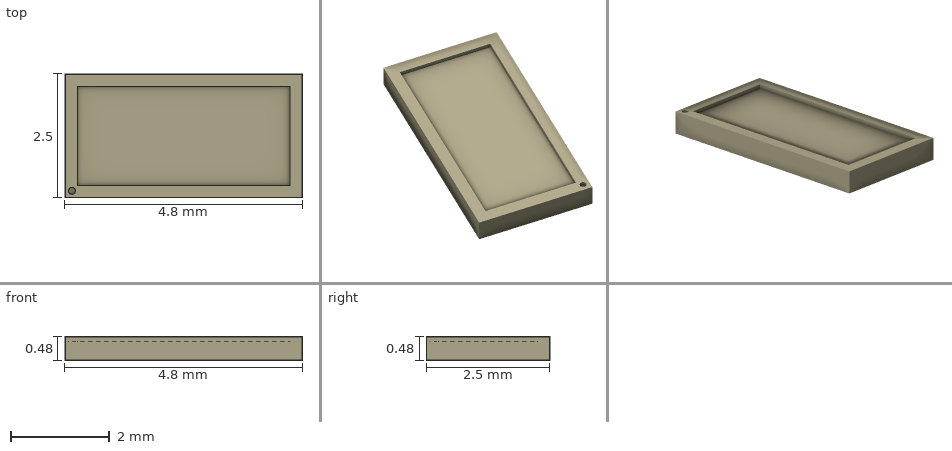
import cadquery as cq

length = 4.8
width = 2.5
height = 0.48

rim_width = 0.25
recess_depth = 0.1

mark_diameter = 0.14
mark_inset = 0.14
mark_depth = 0.1


def make_body():
    """Rectangular plate centred in X and Y, resting on Z = 0."""
    return cq.Workplane("XY").box(length, width, height, centered=(True, True, False))


def cut_recess(body):
    """Sink the rectangular recess into the top face."""
    return (
        body.faces(">Z")
        .workplane(origin=(0, 0, height))
        .rect(length - 2 * rim_width, width - 2 * rim_width)
        .cutBlind(-recess_depth)
    )


def cut_index_mark(body):
    """Sink the round blind mark into the rim, equally far from both sides."""
    return (
        body.faces(">Z")
        .workplane(origin=(0, 0, height))
        .center(mark_inset - length / 2, mark_inset - width / 2)
        .circle(mark_diameter / 2)
        .cutBlind(-mark_depth)
    )


result = cut_index_mark(cut_recess(make_body()))